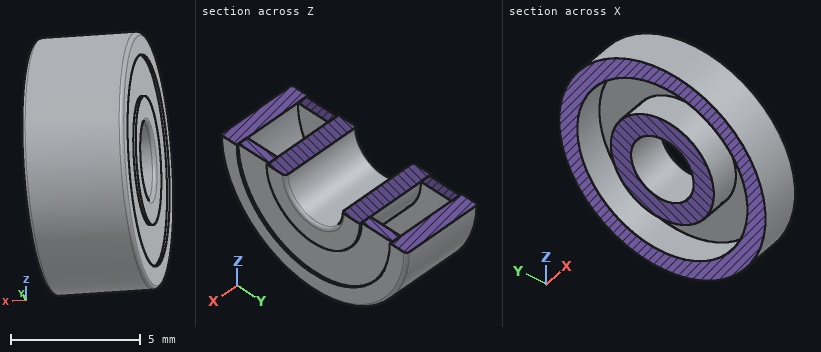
import cadquery as cq

WIDTH = 4.0
OUTER_DIAMETER = 10.0
BORE_DIAMETER = 3.0
OUTER_RING_INNER_DIAMETER = 8.2
INNER_RING_OUTER_DIAMETER = 5.0
EDGE_FILLET = 0.15
SHIELD_THICKNESS = 0.5
SHIELD_RECESS = 0.1


def annulus(outer_diameter, inner_diameter, x_start, length):
    """Flat-ended ring around the X axis, starting at x_start."""
    return (
        cq.Workplane("YZ", origin=(x_start, 0, 0))
        .circle(outer_diameter / 2)
        .circle(inner_diameter / 2)
        .extrude(length)
    )


def make_outer_ring():
    """Outer ring with both edges of its outside surface rounded."""
    ring = annulus(OUTER_DIAMETER, OUTER_RING_INNER_DIAMETER, -WIDTH / 2, WIDTH)
    outside_edges = cq.selectors.RadiusNthSelector(-1)
    return ring.faces("<X or >X").edges(outside_edges).fillet(EDGE_FILLET)


def make_inner_ring():
    """Inner ring with both edges of its bore rounded."""
    ring = annulus(INNER_RING_OUTER_DIAMETER, BORE_DIAMETER, -WIDTH / 2, WIDTH)
    bore_edges = cq.selectors.RadiusNthSelector(0)
    return ring.faces("<X or >X").edges(bore_edges).fillet(EDGE_FILLET)


def make_shield(x_start):
    """Thin disc that closes the gap between the two rings."""
    return annulus(
        OUTER_RING_INNER_DIAMETER, INNER_RING_OUTER_DIAMETER, x_start, SHIELD_THICKNESS
    )


outer_ring = make_outer_ring()
inner_ring = make_inner_ring()

left_shield_start = -WIDTH / 2 + SHIELD_RECESS
right_shield_start = WIDTH / 2 - SHIELD_RECESS - SHIELD_THICKNESS
shields = [make_shield(x_start) for x_start in (left_shield_start, right_shield_start)]

result = cq.Compound.makeCompound(
    [outer_ring.val(), inner_ring.val(), *[shield.val() for shield in shields]]
)